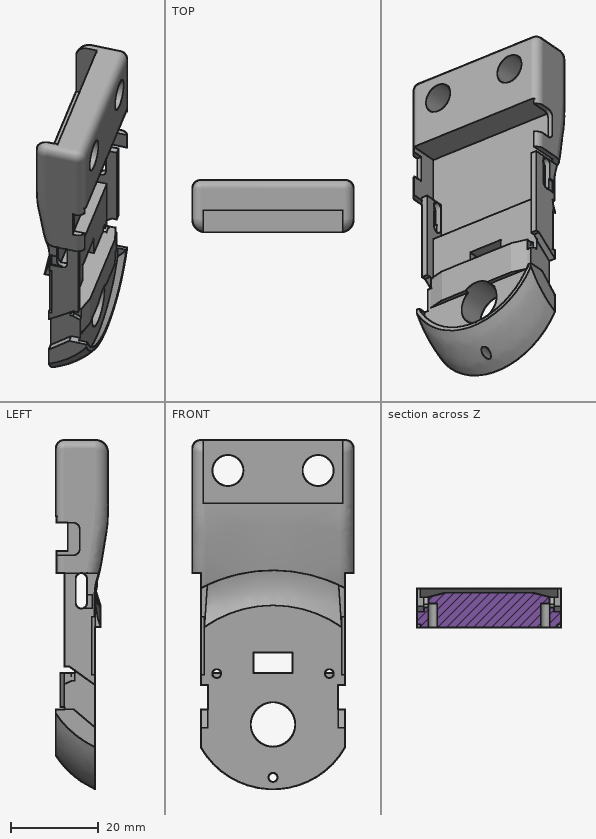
import cadquery as cq
import math


HEAD_WIDTH = 36.91
BODY_WIDTH = 33.0
TOTAL_HEIGHT = 79.84
TOTAL_DEPTH = 12.0
TOP_Z = 65.0
BOTTOM_Z = TOP_Z - TOTAL_HEIGHT
HEAD_FRONT_Y = -3.0
HEAD_BACK_Y = HEAD_FRONT_Y + TOTAL_DEPTH
BODY_BACK_Y = 7.0
HEAD_BOTTOM_Z = 34.55
EDGE_RADIUS = 2.0
FRONT_EDGE_RADIUS = 2.95

CURVE_TOP_Z = 50.5
CURVE_POINTS = [(-2.85, 45.8), (-2.0, 40.3), (-0.95, 34.5)]
CURVE_END = (0.0, 29.3)

POCKET_WIDTH = 31.9
POCKET_FACE_Y = 2.0
MOUNT_HOLE_DIAMETER = 7.02
MOUNT_HOLE_SPACING = 20.6
MOUNT_HOLE_Z = 58.0

LIP_RADIUS = 27.2
VALLEY_RADIUS = 30.7
DISH_RADIUS = 35.2
LIP_HEIGHT = 1.25
DISH_EDGE_HEIGHT = 0.5
VALLEY_Y = -0.18
RING_ROOT_Y = 1.0
LIP_HALF_WIDTH = 15.65
DISH_HALF_WIDTH = 15.0
LIP_END_Z = math.sqrt(LIP_RADIUS**2 - LIP_HALF_WIDTH**2)
DISH_END_Z = math.sqrt(DISH_RADIUS**2 - DISH_HALF_WIDTH**2)

BOW_CORNER_Z = -5.2
BOW_RISE = 7.7
BOW_BULGE = 1.05
BOW_TOP_Z = 3.45
SKIRT_WALL = 0.8

MAIN_HOLE_DIAMETER = 10.1
WINDOW_WIDTH = 8.9
WINDOW_BOTTOM_Z = 11.75
WINDOW_TOP_Z = 16.4
PIN_HOLE_DIAMETER = 2.0
UPPER_PIN_X = 12.85
UPPER_PIN_Z = 11.6
UPPER_PIN_DEPTH = 5.5
LOWER_PIN_Z = -12.1

SIDE_WALL = 1.5
HEAD_WALL = 1.2
FLOOR_Y = 4.65
DEEP_FLOOR_Y = 1.75
DEEP_BOTTOM_Z = 24.0
CAVITY_TOP_Z = 47.5
LATCH_BAR_HEIGHT = 1.0
LATCH_BAR_BOTTOM_Z = 3.95
LATCH_BAR_HALF_WIDTH = 14.0
LATCH_BAR_SLOPE = 4.0

SIDE_NOTCH_X = 14.85
SIDE_NOTCH_BOTTOM_Z = -0.7
SIDE_NOTCH_TOP_Z = 9.0
SIDE_NOTCH_KNEE_Y = 4.9
SIDE_NOTCH_BACK_Z = 13.2
SIDE_NOTCH_UPPER_KNEE_Y = 5.9
CORNER_RELIEF_DEPTH = 1.0
CORNER_RELIEF_Z = 10.0
CORNER_RELIEF_KNEE_Y = 5.3
CORNER_RELIEF_BACK_Z = 9.2
REBATE_WIDTH = 0.85
REBATE_DEPTH = 0.75
REBATE_BOTTOM_Z = 11.3
REBATE_TOP_Z = 24.6
HEAD_NOTCH_TOP_Z = 46.1
HEAD_NOTCH_BOTTOM_Z = 38.6
HEAD_NOTCH_Y = 3.5
HEAD_NOTCH_RADIUS = 1.6
FAR_NOTCH_BOTTOM_Z = 39.65
FAR_NOTCH_Y = 6.3
SLOT_WIDTH = 2.5
SLOT_Y = 3.15
SLOT_BOTTOM_Z = 26.5
SLOT_PAD_FRONT_Y = 0.65
SLOT_PAD_TOP_Z = 29.6
SLOT_PAD_DEPTH = 0.3


def box(x0, x1, y0, y1, z0, z1):
    """Axis-aligned block between two opposite corners."""
    return cq.Workplane("XY").box(x1 - x0, y1 - y0, z1 - z0, centered=False).translate((x0, y0, z0))


def wide_box(width, y0, y1, z0, z1):
    """Block centred on the symmetry plane X = 0."""
    return box(-width / 2, width / 2, y0, y1, z0, z1)


def round_cut(x, z, diameter):
    """Cylinder along Y through the whole depth."""
    rod = cq.Workplane("XZ").center(x, z).circle(diameter / 2).extrude(-2 * TOTAL_DEPTH)
    return rod.translate((0, -TOTAL_DEPTH, 0))


def upper_body():
    """Head and curved neck: a side profile across the width, rounded, then narrowed at the neck."""
    profile = (
        cq.Workplane("YZ")
        .moveTo(HEAD_BACK_Y, TOP_Z)
        .lineTo(HEAD_FRONT_Y, TOP_Z)
        .lineTo(HEAD_FRONT_Y, CURVE_TOP_Z)
        .spline(CURVE_POINTS + [CURVE_END], tangents=[(0, -1), (0, -1)], includeCurrent=True)
        .lineTo(CURVE_END[0], 0)
        .lineTo(HEAD_BACK_Y, 0)
        .close()
    )
    body = profile.extrude(HEAD_WIDTH).translate((-HEAD_WIDTH / 2, 0, 0))
    body = body.edges("|Y and >Z").fillet(EDGE_RADIUS)
    body = body.faces(">Y").edges("not <Z").fillet(EDGE_RADIUS)
    body = body.edges("|Z and <Y").fillet(FRONT_EDGE_RADIUS)
    head_zone = wide_box(HEAD_WIDTH, HEAD_FRONT_Y, HEAD_BACK_Y, HEAD_BOTTOM_Z, TOP_Z)
    neck_zone = wide_box(BODY_WIDTH, HEAD_FRONT_Y, BODY_BACK_Y, LIP_RADIUS / 2, HEAD_BOTTOM_Z)
    return body.intersect(head_zone.union(neck_zone))


def bow(inset, back_y):
    """Rounded lower end whose outline climbs along a bulging path toward the back."""
    half = BODY_WIDTH / 2 - inset

    def section(part_way):
        rise = BOW_RISE * part_way - 4 * BOW_BULGE * part_way * (1 - part_way) + inset
        return (
            cq.Workplane("XZ", origin=(0, HEAD_BACK_Y * part_way, rise))
            .moveTo(-half, SIDE_NOTCH_TOP_Z)
            .lineTo(-half, BOW_CORNER_Z)
            .threePointArc((0, BOTTOM_Z), (half, BOW_CORNER_Z))
            .lineTo(half, SIDE_NOTCH_TOP_Z)
            .close()
            .val()
        )

    solid = cq.Solid.makeLoft([section(0), section(0.5), section(1)])
    keep = wide_box(BODY_WIDTH, back_y, HEAD_BACK_Y, BOTTOM_Z, BOW_TOP_Z)
    return cq.Workplane(solid).intersect(keep)


def plate():
    """Flat lower body with the bow, its rear skirt and the latch bar."""
    block = wide_box(BODY_WIDTH, 0, BODY_BACK_Y, BOW_TOP_Z, DEEP_BOTTOM_Z)
    bar = (
        cq.Workplane("XY", origin=(0, 0, LATCH_BAR_BOTTOM_Z))
        .polyline([
            (-LATCH_BAR_HALF_WIDTH, BODY_BACK_Y),
            (LATCH_BAR_HALF_WIDTH, BODY_BACK_Y),
            (LATCH_BAR_HALF_WIDTH - LATCH_BAR_SLOPE, BODY_BACK_Y + LATCH_BAR_HEIGHT),
            (-LATCH_BAR_HALF_WIDTH + LATCH_BAR_SLOPE, BODY_BACK_Y + LATCH_BAR_HEIGHT),
        ])
        .close()
        .extrude(WINDOW_BOTTOM_Z - LATCH_BAR_BOTTOM_Z)
    )
    lower_end = bow(0, 0).cut(bow(SKIRT_WALL, BODY_BACK_Y))
    return block.union(lower_end).union(bar)


def shape_lip(body):
    """Clear the front inside the dish circle and put the dished ring with its raised lip there."""
    clearance = cq.Workplane("XZ").circle(DISH_RADIUS).extrude(TOTAL_DEPTH)
    ring = (
        cq.Workplane("XY")
        .moveTo(LIP_RADIUS, RING_ROOT_Y)
        .lineTo(LIP_RADIUS, -LIP_HEIGHT)
        .spline([(VALLEY_RADIUS, VALLEY_Y), (DISH_RADIUS, -DISH_EDGE_HEIGHT)], includeCurrent=True)
        .lineTo(DISH_RADIUS, RING_ROOT_Y)
        .close()
        .revolve(360, (0, 0, 0), (0, 1, 0))
    )
    lip_zone = (
        cq.Workplane("XZ")
        .polyline([
            (-LIP_HALF_WIDTH, LIP_END_Z),
            (LIP_HALF_WIDTH, LIP_END_Z),
            (DISH_HALF_WIDTH, DISH_END_Z),
            (DISH_HALF_WIDTH, DISH_RADIUS),
            (-DISH_HALF_WIDTH, DISH_RADIUS),
            (-DISH_HALF_WIDTH, DISH_END_Z),
        ])
        .close()
        .extrude(TOTAL_DEPTH, both=True)
    )
    return body.cut(clearance).union(ring.intersect(lip_zone))


def cut_head(body):
    """Front pocket, open at the top, with two mounting holes through its floor."""
    body = body.cut(wide_box(POCKET_WIDTH, HEAD_FRONT_Y, POCKET_FACE_Y, CURVE_TOP_Z, TOP_Z))
    for side in (-1, 1):
        body = body.cut(round_cut(side * MOUNT_HOLE_SPACING / 2, MOUNT_HOLE_Z, MOUNT_HOLE_DIAMETER))
    return body


def cut_cavity(body):
    """Hollow the back between the side walls: a shallow stretch and a deeper one above it."""
    neck_inner = BODY_WIDTH - 2 * SIDE_WALL
    head_inner = HEAD_WIDTH - 2 * HEAD_WALL
    shallow = wide_box(neck_inner, FLOOR_Y, BODY_BACK_Y, WINDOW_BOTTOM_Z, DEEP_BOTTOM_Z)
    neck = wide_box(neck_inner, DEEP_FLOOR_Y, HEAD_BACK_Y, DEEP_BOTTOM_Z, HEAD_BOTTOM_Z)
    head = wide_box(head_inner, DEEP_FLOOR_Y, HEAD_BACK_Y, HEAD_BOTTOM_Z, CAVITY_TOP_Z)
    return body.cut(shallow).cut(neck).cut(head)


def cut_plate_openings(body):
    """Large hole, window, lower pin hole and two blind pin holes that break into the cavity."""
    body = body.cut(round_cut(0, 0, MAIN_HOLE_DIAMETER))
    body = body.cut(wide_box(WINDOW_WIDTH, -1, HEAD_BACK_Y, WINDOW_BOTTOM_Z, WINDOW_TOP_Z))
    body = body.cut(round_cut(0, LOWER_PIN_Z, PIN_HOLE_DIAMETER))
    upper_pins = (
        cq.Workplane("XZ")
        .pushPoints([(-UPPER_PIN_X, UPPER_PIN_Z), (UPPER_PIN_X, UPPER_PIN_Z)])
        .circle(PIN_HOLE_DIAMETER / 2)
        .extrude(-UPPER_PIN_DEPTH)
    )
    return body.cut(upper_pins)


def cut_side(body, side):
    """Sloped notch with a corner relief, front rebate, slot and slot recess (side is -1 or 1)."""
    outer = side * BODY_WIDTH / 2
    notch = (
        cq.Workplane("YZ", origin=(side * SIDE_NOTCH_X, 0, 0))
        .moveTo(0, SIDE_NOTCH_BOTTOM_Z)
        .lineTo(SIDE_NOTCH_KNEE_Y, BOW_TOP_Z)
        .lineTo(HEAD_BACK_Y, BOW_TOP_Z)
        .lineTo(HEAD_BACK_Y, SIDE_NOTCH_BACK_Z)
        .lineTo(SIDE_NOTCH_UPPER_KNEE_Y, SIDE_NOTCH_BACK_Z)
        .lineTo(0, SIDE_NOTCH_TOP_Z)
        .close()
        .extrude(side * HEAD_WIDTH)
    )
    relief = (
        cq.Workplane("YZ", origin=(side * (SIDE_NOTCH_X - CORNER_RELIEF_DEPTH), 0, 0))
        .moveTo(FLOOR_Y, WINDOW_BOTTOM_Z)
        .lineTo(FLOOR_Y, CORNER_RELIEF_Z)
        .lineTo(CORNER_RELIEF_KNEE_Y, CORNER_RELIEF_Z)
        .lineTo(BODY_BACK_Y, CORNER_RELIEF_BACK_Z)
        .lineTo(BODY_BACK_Y, WINDOW_BOTTOM_Z)
        .close()
        .extrude(side * CORNER_RELIEF_DEPTH)
    )
    rebate_x = sorted((outer, outer - side * REBATE_WIDTH))
    rebate = box(*rebate_x, -LIP_HEIGHT, REBATE_DEPTH, REBATE_BOTTOM_Z, REBATE_TOP_Z)
    slot_length = HEAD_BOTTOM_Z - SLOT_BOTTOM_Z
    slot = (
        cq.Workplane("YZ")
        .center(SLOT_Y, SLOT_BOTTOM_Z + slot_length / 2)
        .slot2D(slot_length, SLOT_WIDTH, 90)
        .extrude(side * HEAD_WIDTH)
    )
    pad_x = sorted((outer, outer - side * SLOT_PAD_DEPTH))
    pad = box(*pad_x, SLOT_PAD_FRONT_Y, SLOT_Y, SLOT_BOTTOM_Z, SLOT_PAD_TOP_Z)
    return body.cut(notch).cut(relief).cut(rebate).cut(slot).cut(pad)


def cut_head_notches(body):
    """Rounded notch in the -X head wall and a shallower square one in the +X wall."""
    past_back = HEAD_BACK_Y + HEAD_NOTCH_RADIUS
    near = box(-HEAD_WIDTH, 0, HEAD_NOTCH_Y, past_back, HEAD_NOTCH_BOTTOM_Z, HEAD_NOTCH_TOP_Z)
    near = near.edges("|X and <Y").fillet(HEAD_NOTCH_RADIUS)
    far = box(0, HEAD_WIDTH, FAR_NOTCH_Y, past_back, FAR_NOTCH_BOTTOM_Z, HEAD_NOTCH_TOP_Z)
    return body.cut(near).cut(far)


body = upper_body().union(plate())
body = shape_lip(body)
body = cut_head(body)
body = cut_cavity(body)
body = cut_plate_openings(body)
for side in (-1, 1):
    body = cut_side(body, side)
result = cut_head_notches(body)